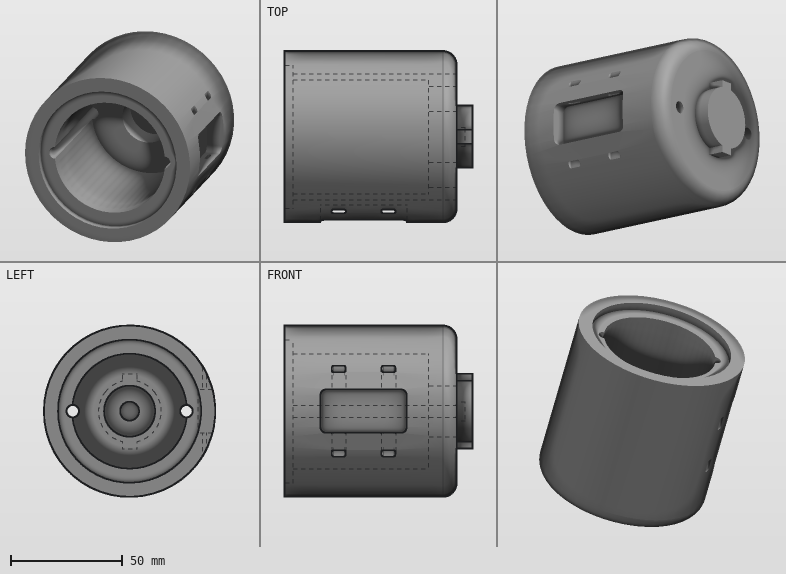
import cadquery as cq

total_length = 84.14
boss_length = 7.11
body_length = total_length - boss_length
body_diameter = 76.71
end_fillet = 6.35

mouth_diameter = 64.01
mouth_depth = 3.7
bore_diameter = 51.4
end_wall = 12.7
bore_depth = body_length - end_wall
recess_diameter = 22.86
recess_depth = body_length
pilot_diameter = 8.5
pilot_depth = recess_depth + boss_length / 2

rod_hole_diameter = 5.49
rod_hole_offset = 25.4

boss_diameter = 27.94
key_width = 6.35
key_span = 33.53

pocket_center_x = 35.4
pocket_length = 38.6
pocket_height = 19.5
pocket_corner_radius = 2.7
pocket_floor_y = -30.48

slot_length = 6.35
slot_width = 1.59
slot_spacing = 22.2
slot_center_y = -33.36


def cylinder_along_x(diameter, length, start_x=0.0, center_y=0.0):
    return (
        cq.Workplane("YZ", origin=(start_x, center_y, 0))
        .circle(diameter / 2)
        .extrude(length)
    )


def make_body():
    return cylinder_along_x(body_diameter, body_length).faces(">X").edges().fillet(end_fillet)


def make_keyed_boss():
    boss = cylinder_along_x(boss_diameter, boss_length, body_length)
    key = (
        cq.Workplane("YZ", origin=(body_length, 0, 0))
        .rect(key_width, key_span)
        .extrude(boss_length)
    )
    return boss.union(key)


def make_cavity():
    cavity = cylinder_along_x(mouth_diameter, mouth_depth)
    for diameter, depth in (
        (bore_diameter, bore_depth),
        (recess_diameter, recess_depth),
        (pilot_diameter, pilot_depth),
    ):
        cavity = cavity.union(cylinder_along_x(diameter, depth))
    return cavity


def make_pocket():
    pocket_depth = body_diameter / 2 + pocket_floor_y
    return (
        cq.Workplane("XZ", origin=(pocket_center_x, pocket_floor_y, 0))
        .rect(pocket_length, pocket_height)
        .extrude(pocket_depth)
        .edges("|Y")
        .fillet(pocket_corner_radius)
    )


def make_strap_slots():
    return (
        cq.Workplane("XY", origin=(pocket_center_x, slot_center_y, 0))
        .pushPoints([(-slot_spacing / 2, 0), (slot_spacing / 2, 0)])
        .slot2D(slot_length, slot_width)
        .extrude(body_diameter / 2, both=True)
    )


result = make_body().union(make_keyed_boss()).cut(make_cavity())
for side in (-1, 1):
    result = result.cut(cylinder_along_x(rod_hole_diameter, body_length, center_y=side * rod_hole_offset))
result = result.cut(make_pocket()).cut(make_strap_slots())